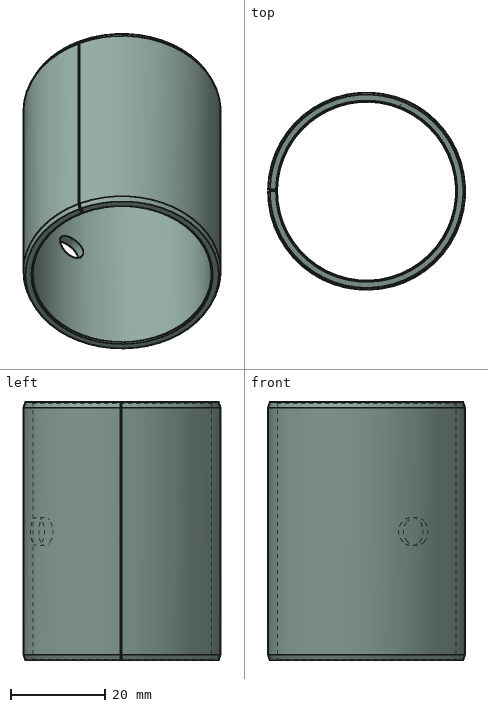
import cadquery as cq
import math

outer_diameter = 42.0
wall_thickness = 2.0
length = 55.0

outer_chamfer_length = 1.2
outer_chamfer_angle = 20.0
bore_chamfer = 0.3

joint_angle = 1.0
full_turn = 360.0

oil_hole_diameter = 6.0
oil_hole_azimuth = 60.0

outer_radius = outer_diameter / 2
bore_radius = outer_radius - wall_thickness
outer_chamfer_depth = outer_chamfer_length * math.tan(math.radians(outer_chamfer_angle))


def make_sleeve():
    """Revolve the chamfered wall section around Z, leaving the joint open."""
    end_outer_radius = outer_radius - outer_chamfer_depth
    end_bore_radius = bore_radius + bore_chamfer
    section = (
        cq.Workplane("XZ")
        .moveTo(-end_bore_radius, 0)
        .lineTo(-end_outer_radius, 0)
        .lineTo(-outer_radius, outer_chamfer_length)
        .lineTo(-outer_radius, length - outer_chamfer_length)
        .lineTo(-end_outer_radius, length)
        .lineTo(-end_bore_radius, length)
        .lineTo(-bore_radius, length - bore_chamfer)
        .lineTo(-bore_radius, bore_chamfer)
        .close()
    )
    return section.revolve(full_turn - joint_angle, (0, 0, 0), (0, 1, 0))


def make_oil_hole_cutter():
    """Radial pin from the bush axis outwards, crossing the wall once."""
    azimuth = math.radians(oil_hole_azimuth)
    radial = cq.Vector(math.cos(azimuth), math.sin(azimuth), 0)
    mid_axis = cq.Vector(0, 0, length / 2)
    return cq.Solid.makeCylinder(oil_hole_diameter / 2, outer_diameter, mid_axis, radial)


result = make_sleeve().cut(make_oil_hole_cutter())